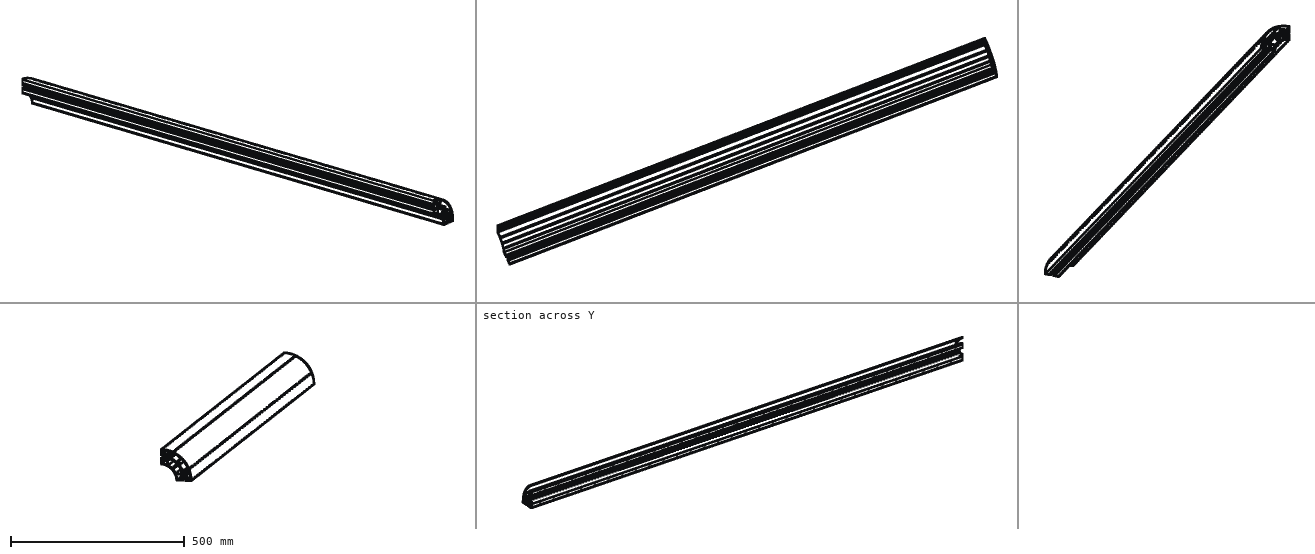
import cadquery as cq
import math

length = 1524.0
outer_radius = 90.0
inner_radius = outer_radius / 2
mid_radius = (outer_radius + inner_radius) / 2
wall = 2.6
outer_fillet = 2.5
inner_fillet = 3.0

end_wall = 2.1
slot_opening = 9.0
slot_width = 14.5
slot_depth = 15.0
slot_floor = 2.3
lip_thickness = 5.0

bore_diameter = 7.3
bore_depth = mid_radius - inner_radius
core_width = 18.0
core_depth = 27.0
core_chamfer = 5.0

hub_radius = 70.0
hub_diameter = 12.0
web = 3.0
hub_rib = 3.8
inner_rib_depth = slot_depth + slot_floor + web / 2
outer_rib_angle = 22.5


def polar(radius, degrees):
    """(Y, Z) point at an angle from the Y axis."""
    angle = math.radians(degrees)
    return (radius * math.cos(angle), radius * math.sin(angle))


def prism(points):
    """Closed polygon of (Y, Z) points extruded along the full length."""
    return cq.Workplane("YZ").polyline(points).close().extrude(length)


def end_block(width, depth):
    """Block on the flat end Z = 0, centred on the slot."""
    return (
        cq.Workplane("YZ")
        .center(mid_radius, depth / 2)
        .rect(width, depth)
        .extrude(length)
    )


def cylinder(center, diameter):
    """Round bar along X."""
    return cq.Workplane("YZ").center(*center).circle(diameter / 2).extrude(length)


def strip(start, end, thickness):
    """Straight web of the given thickness between two (Y, Z) points."""
    dy = end[0] - start[0]
    dz = end[1] - start[1]
    half = thickness / 2 / math.hypot(dy, dz)
    oy = -dz * half
    oz = dy * half
    return prism([
        (start[0] + oy, start[1] + oz),
        (end[0] + oy, end[1] + oz),
        (end[0] - oy, end[1] - oz),
        (start[0] - oy, start[1] - oz),
    ])


def quarter_ring(r_in, r_out):
    """Quarter of a tube between two radii."""
    return (
        cq.Workplane("YZ")
        .moveTo(r_in, 0)
        .lineTo(r_out, 0)
        .threePointArc(polar(r_out, 45), (0, r_out))
        .lineTo(0, r_in)
        .threePointArc(polar(r_in, 45), (r_in, 0))
        .close()
        .extrude(length)
    )


def envelope():
    """Solid quarter ring with its four long corners rounded."""
    ring = quarter_ring(inner_radius, outer_radius)
    ring = ring.edges("|X").edges("not (>Y or >Z)").fillet(inner_fillet)
    return ring.edges("|X and (>Y or >Z)").fillet(outer_fillet)


def both_ends(solid):
    """Add the mirror image about the plane Y = Z."""
    return solid.union(solid.mirror((0, 1, -1)))


inner_wall_middle = inner_radius + wall / 2
outer_wall_middle = outer_radius - wall / 2
hub_center = polar(hub_radius, 45)
bore_center = (mid_radius, bore_depth)


def end_structure():
    """End wall, core and webs at the flat end Z = 0."""
    plate = end_block(outer_radius - inner_radius, end_wall)
    core = end_block(core_width, core_depth).edges("|X and >Z").chamfer(core_chamfer)
    rib_root = math.sqrt(inner_wall_middle**2 - inner_rib_depth**2)
    inner_rib = strip((rib_root, inner_rib_depth), (mid_radius, inner_rib_depth), web)
    outer_rib = strip(
        polar(mid_radius, outer_rib_angle), polar(outer_wall_middle, outer_rib_angle), web
    )
    hub_web = strip(bore_center, hub_center, web)
    return plate.union(core).union(inner_rib).union(outer_rib).union(hub_web)


def end_cuts():
    """T-slot and core bore at the flat end Z = 0."""
    opening = end_block(slot_opening, slot_depth)
    undercut = end_block(slot_width, slot_depth).cut(end_block(slot_width, lip_thickness))
    return opening.union(undercut).union(cylinder(bore_center, bore_diameter))


outer_shell = quarter_ring(outer_radius - wall, outer_radius)
inner_shell = quarter_ring(inner_radius, inner_radius + wall)
hub = cylinder(hub_center, hub_diameter)
center_rib = strip(hub_center, polar(inner_wall_middle, 45), hub_rib)

body = outer_shell.union(inner_shell).union(both_ends(end_structure()))
body = body.union(hub).union(center_rib)
body = body.intersect(envelope())

body = body.cut(both_ends(end_cuts()))
result = body.cut(cylinder(hub_center, bore_diameter)).clean()